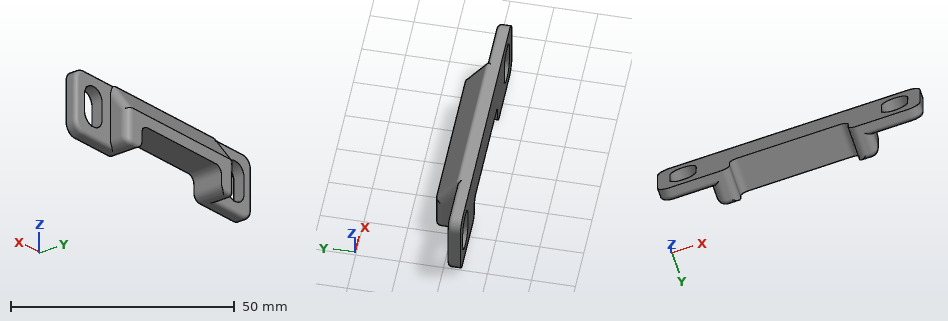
import cadquery as cq

length = 62.0
height = 16.0
plate_thickness = 3.0
plate_corner_radius = 3.0
small_round = 1.0
large_round = 2 * small_round

block_length = 38.0
block_depth = 8.0
block_knee_height = 9.0

notch_width = 28.0
notch_height = 6.0

slot_spacing = 50.0
slot_width = 6.2
slot_height = 10.0
slot_corner_radius = 3.0


def make_plate():
    """Flat plate with rounded corners and a rounded back rim."""
    plate = cq.Workplane("XY").box(
        length, plate_thickness, height, centered=(True, False, False)
    )
    plate = plate.edges("|Y").fillet(plate_corner_radius)
    return plate.faces(">Y").edges().fillet(small_round)


def make_block():
    """Wedge-topped block, rounded on its ends, top and bottom back edge."""
    block = (
        cq.Workplane("YZ")
        .polyline([
            (0, 0),
            (block_depth, 0),
            (block_depth, block_knee_height),
            (plate_thickness, height),
            (0, height),
        ])
        .close()
        .extrude(block_length / 2, both=True)
    )
    block = block.faces("<X or >X").edges("not <Y").fillet(large_round)
    bottom_back = cq.selectors.BoxSelector(
        (-0.6, block_depth - 0.6, -0.6), (0.6, block_depth + 0.6, 0.6)
    )
    block = block.edges(bottom_back).fillet(small_round)
    top_ridge = cq.selectors.BoxSelector(
        (-0.6, plate_thickness - 0.6, height - 0.6), (0.6, plate_thickness + 0.6, height + 0.6)
    )
    return block.edges(top_ridge).fillet(small_round)


def make_notch():
    """Cutter for the bottom notch, flared where it meets the bottom edge."""
    half_width = notch_width / 2
    radius = large_round
    notch = (
        cq.Workplane("XZ")
        .moveTo(-half_width - radius, 0)
        .radiusArc((-half_width, radius), -radius)
        .lineTo(-half_width, notch_height - radius)
        .radiusArc((-half_width + radius, notch_height), radius)
        .lineTo(half_width - radius, notch_height)
        .radiusArc((half_width, notch_height - radius), radius)
        .lineTo(half_width, radius)
        .radiusArc((half_width + radius, 0), -radius)
        .close()
    )
    return notch.extrude(-block_depth)


def make_slots():
    """Cutters for the two vertical slots, with a narrow flat at each end."""
    return (
        cq.Workplane("XZ", origin=(0, 0, height / 2))
        .pushPoints([(-slot_spacing / 2, 0), (slot_spacing / 2, 0)])
        .rect(slot_width, slot_height)
        .extrude(-plate_thickness)
        .edges("|Y")
        .fillet(slot_corner_radius)
    )


result = make_plate().union(make_block()).cut(make_notch()).cut(make_slots())